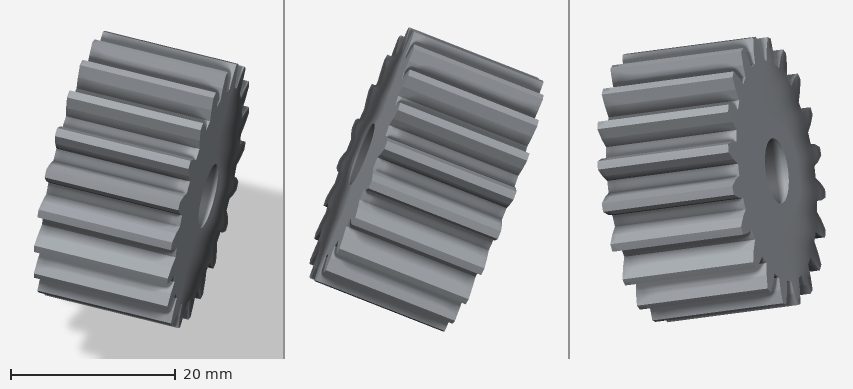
import cadquery as cq
import math


module = 1.5
tooth_count = 20
face_width = 17.0
bore_diameter = 8.0

tip_half_angle = 1.8
pitch_half_angle = 4.2
root_half_angle = 5.9

pitch_radius = module * tooth_count / 2
tip_radius = pitch_radius + module
root_radius = pitch_radius - module
tooth_pitch_angle = 360.0 / tooth_count
first_tooth_angle = tooth_pitch_angle / 2


def polar_point(radius, angle):
    """Point in the YZ plane at the given angle from +Y."""
    angle_radians = math.radians(angle)
    return (radius * math.cos(angle_radians), radius * math.sin(angle_radians))


def add_tooth_and_gap(outline, tooth_angle):
    """Extend the outline over one tooth and along the root arc to the next."""
    next_tooth_angle = tooth_angle + tooth_pitch_angle
    gap_angle = tooth_angle + tooth_pitch_angle / 2
    return (
        outline
        .lineTo(*polar_point(pitch_radius, tooth_angle - pitch_half_angle))
        .lineTo(*polar_point(tip_radius, tooth_angle - tip_half_angle))
        .threePointArc(
            polar_point(tip_radius, tooth_angle),
            polar_point(tip_radius, tooth_angle + tip_half_angle),
        )
        .lineTo(*polar_point(pitch_radius, tooth_angle + pitch_half_angle))
        .lineTo(*polar_point(root_radius, tooth_angle + root_half_angle))
        .threePointArc(
            polar_point(root_radius, gap_angle),
            polar_point(root_radius, next_tooth_angle - root_half_angle),
        )
    )


def make_toothed_blank():
    """Solid gear body, centred on the origin along X."""
    start = polar_point(root_radius, first_tooth_angle - root_half_angle)
    outline = cq.Workplane("YZ").moveTo(*start)
    for tooth_index in range(tooth_count):
        tooth_angle = first_tooth_angle + tooth_index * tooth_pitch_angle
        outline = add_tooth_and_gap(outline, tooth_angle)
    return outline.close().extrude(face_width / 2, both=True)


def make_bore():
    """Cylinder that clears the shaft hole through the full face width."""
    return cq.Workplane("YZ").circle(bore_diameter / 2).extrude(face_width / 2, both=True)


result = make_toothed_blank().cut(make_bore())